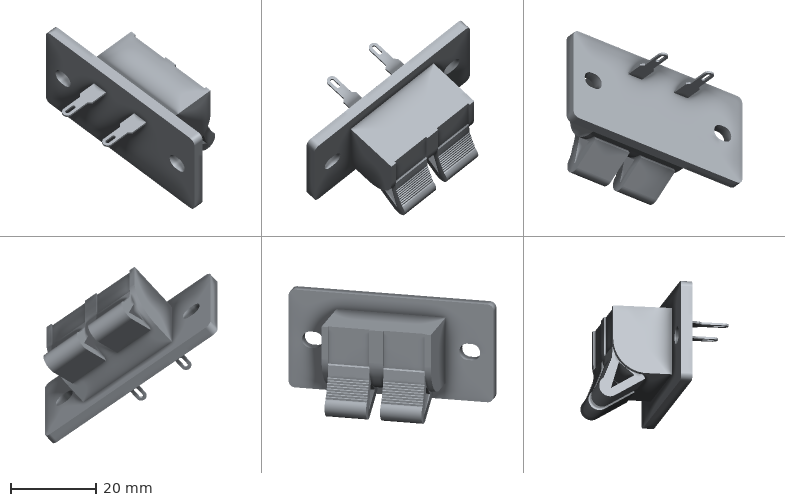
import cadquery as cq
import math

plate_width = 49.5
plate_height = 24.0
plate_thickness = 2.7
plate_corner_radius = 1.5
mount_slot_spacing = 38.0
mount_slot_length = 5.0
mount_slot_height = 4.0

body_width = 26.4
body_height = 16.0
body_depth = 14.0
body_edge_radius = 8.0
body_back = plate_thickness + body_depth
notch_depth = 0.5

pair_spacing = 13.4
pair_positions = (-pair_spacing / 2, pair_spacing / 2)

tab_length = 12.0
tab_width = 4.0
tab_neck_width = 2.5
tab_shoulder_start = 4.6
tab_shoulder_length = 0.8
tab_thickness = 0.5
tab_z = 6.0
tab_eye_width = 1.0
tab_eye_length = 3.0

clip_width = 10.0
nose_radius = 2.5
nose_behind_body = 3.03
nose_below_plate = 1.62
nose_center = (
    body_back + nose_behind_body - nose_radius,
    -plate_height / 2 - nose_below_plate + nose_radius,
)
foot_angle = math.radians(31)
foot_thickness = 1.95
foot_length = 8.4
window_foot_length = 6.55
clip_root_depth = 2.2

window_top = (body_back - 1.65, -5.2)
clip_root = (body_back - notch_depth, -1.1)
clip_shoulder = (body_back - 0.17, -1.4)
teeth_start = (body_back, -3.9)

teeth_end_angle = math.radians(49)
tooth_count = 9
teeth_sag = 0.07
tooth_tread_ratio = 0.2


def make_plate():
    plate = (
        cq.Workplane("XY")
        .box(plate_width, plate_thickness, plate_height)
        .translate((0, plate_thickness / 2, 0))
        .edges("|Y")
        .fillet(plate_corner_radius)
    )
    slots = (
        cq.Workplane("XZ")
        .pushPoints([(-mount_slot_spacing / 2, 0), (mount_slot_spacing / 2, 0)])
        .slot2D(mount_slot_length, mount_slot_height)
        .extrude(-plate_thickness)
    )
    return plate.cut(slots)


def make_body():
    body = (
        cq.Workplane("XY")
        .box(body_width, body_depth, body_height)
        .translate((0, plate_thickness + body_depth / 2, 0))
        .edges(">Y and <Z")
        .fillet(body_edge_radius)
    )
    for x in pair_positions:
        notch = (
            cq.Workplane("XY")
            .box(clip_width, notch_depth, body_height)
            .translate((x, body_back - notch_depth / 2, 0))
        )
        body = body.cut(notch)
    return body


def make_tab(x):
    half_width = tab_width / 2
    half_neck = tab_neck_width / 2
    neck_start = -(tab_shoulder_start + tab_shoulder_length)
    tip_center = -(tab_length - half_neck)
    eye_center = tip_center + (tab_eye_length - tab_eye_width) / 2
    tab_bottom = cq.Workplane("XY", origin=(x, 0, tab_z - tab_thickness / 2))
    blade = (
        tab_bottom.moveTo(-half_width, 0)
        .lineTo(-half_width, -tab_shoulder_start)
        .lineTo(-half_neck, neck_start)
        .lineTo(-half_neck, tip_center)
        .threePointArc((0, -tab_length), (half_neck, tip_center))
        .lineTo(half_neck, neck_start)
        .lineTo(half_width, -tab_shoulder_start)
        .lineTo(half_width, 0)
        .close()
        .extrude(tab_thickness)
    )
    eye = (
        tab_bottom.center(0, eye_center)
        .slot2D(tab_eye_length, tab_eye_width, 90)
        .extrude(tab_thickness)
    )
    return blade.cut(eye)


def offset(point, distance, angle):
    """Point at a distance and angle from another point in the YZ plane."""
    return (
        point[0] + distance * math.cos(angle),
        point[1] + distance * math.sin(angle),
    )


teeth_end = offset(nose_center, nose_radius, teeth_end_angle)


def teeth_line(t):
    """Slightly hollow curve carrying the teeth, from t = 0 (top) to t = 1 (nose)."""
    hollow = 4 * teeth_sag * t * (1 - t)
    y = teeth_start[0] + t * (teeth_end[0] - teeth_start[0]) - hollow
    z = teeth_start[1] + t * (teeth_end[1] - teeth_start[1]) - hollow / 2
    return y, z


def make_clip(x):
    foot_direction = math.pi - foot_angle
    foot_normal = foot_direction + math.pi / 2
    foot_start = offset(nose_center, nose_radius, foot_normal)
    foot_tip = offset(foot_start, foot_length, foot_direction)
    foot_inner_tip = offset(foot_tip, -foot_thickness, foot_normal)
    window_apex = offset(nose_center, nose_radius - foot_thickness, foot_normal)
    window_foot_end = offset(window_apex, window_foot_length, foot_direction)
    clip_side = cq.Workplane("YZ", origin=(x - clip_width / 2, 0, 0))

    outline = clip_side.moveTo(*clip_root).lineTo(*clip_shoulder).lineTo(*teeth_start)
    for tooth in range(tooth_count):
        y, z = teeth_line(tooth / tooth_count)
        next_y, next_z = teeth_line((tooth + 1) / tooth_count)
        outline = outline.lineTo(y, next_z + tooth_tread_ratio * (z - next_z))
        outline = outline.lineTo(next_y, next_z)
    clip = (
        outline.threePointArc(offset(nose_center, nose_radius, -math.pi / 4), foot_start)
        .lineTo(*foot_tip)
        .lineTo(*foot_inner_tip)
        .lineTo(clip_root[0] - clip_root_depth, clip_root[1])
        .close()
        .extrude(clip_width)
    )
    window = clip_side.polyline([window_top, window_apex, window_foot_end]).close().extrude(clip_width)
    return clip.cut(window)


result = make_plate().union(make_body())
for pair_x in pair_positions:
    result = result.union(make_tab(pair_x)).union(make_clip(pair_x))